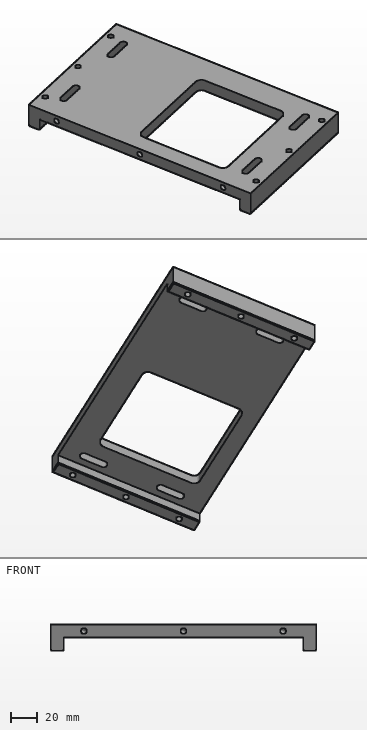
import cadquery as cq
import math

length = 200.0
width = 120.0
height = 20.0
plate_thickness = 10.0
leg_thickness = 10.0
leg_edge_chamfer = 0.8

window_length = 78.0
window_width = 84.0
window_center = (28.5, -4.0)
window_corner_radius = 5.0

leg_hole_diameter = 4.5
leg_hole_spacing = 45.0

slot_width = 5.5
slot_length = 22.5
slot_x = 82.0
slot_rows_y = (34.0, -31.0)

edge_hole_diameter = 4.5
edge_hole_depth = 10.0
edge_hole_spacing = 75.0
drill_tip_angle = 118.0


def plate_with_legs():
    body = cq.Workplane("XY").box(length, width, height, centered=(True, True, False))
    recess = cq.Workplane("XY").box(
        length - 2 * leg_thickness, width, height - plate_thickness, centered=(True, True, False)
    )
    return body.cut(recess).faces("<Z").edges("not <Y").chamfer(leg_edge_chamfer)


def window():
    opening = cq.Workplane("XY").center(*window_center).rect(window_length, window_width).extrude(height)
    return opening.edges("|Z").fillet(window_corner_radius)


def leg_holes():
    hole_x = (length - leg_thickness) / 2
    points = [(x, row * leg_hole_spacing) for x in (-hole_x, hole_x) for row in (-1, 0, 1)]
    return cq.Workplane("XY").pushPoints(points).circle(leg_hole_diameter / 2).extrude(height)


def slots():
    points = [(x, y) for x in (-slot_x, slot_x) for y in slot_rows_y]
    return cq.Workplane("XY").pushPoints(points).slot2D(slot_length, slot_width, 90).extrude(height)


def edge_hole(x):
    """Drilled hole with a conical bottom, entering the front edge at mid plate thickness."""
    radius = edge_hole_diameter / 2
    tip_length = radius / math.tan(math.radians(drill_tip_angle / 2))
    profile = (
        cq.Workplane("XY")
        .lineTo(radius, 0)
        .lineTo(radius, edge_hole_depth)
        .lineTo(0, edge_hole_depth + tip_length)
        .close()
    )
    drill = profile.revolve(360, (0, 0), (0, 1))
    return drill.translate((x, -width / 2, height - plate_thickness / 2))


result = plate_with_legs().cut(window()).cut(leg_holes()).cut(slots())
for column in (-1, 0, 1):
    result = result.cut(edge_hole(column * edge_hole_spacing))